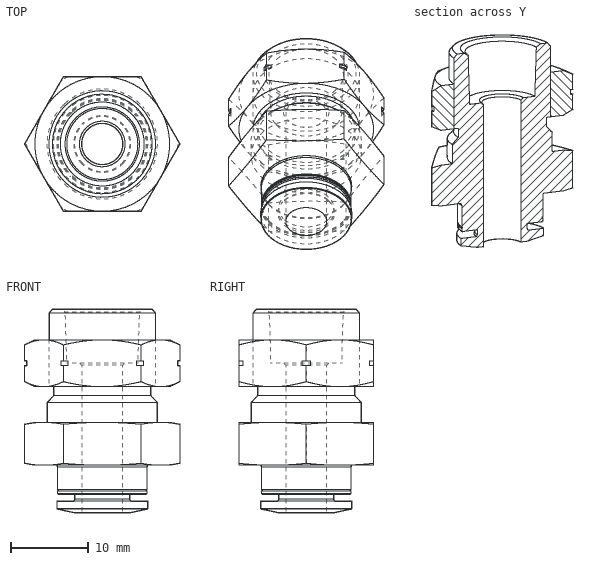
import cadquery as cq
import math

total_height = 26.4
hex_across_flats = 17.45
hex_across_corners = hex_across_flats / math.cos(math.radians(30))

cap_diameter = 11.8
cap_top = 1.53
cap_rim_bottom = 0.48
cap_edge_chamfer = 0.08
stem_diameter = 7.15
stem_flare = 0.1
stem_flare_height = 0.25

barrel_diameter = 11.62
barrel_bottom = 2.38
barrel_end_chamfer = 0.13
barrel_groove_bottom = 2.85
barrel_groove_height = 0.15
barrel_groove_depth = 0.08
barrel_shoulder_height = 0.25

hex_bottom = 6.18
hex_top = 11.72
hex_corner_drop = 0.25

collar_diameter = 14.28
collar_top = 14.3
undercut_diameter = 12.62
undercut_bottom = 15.18
thread_diameter = 13.8
thread_end_diameter = 12.9
thread_end_chamfer_height = 0.5

mouth_diameter = 10.88
mouth_chamfer_height = 0.4
socket_top_diameter = 9.64
socket_bottom_diameter = 9.21
socket_depth = 6.97
passage_diameter = 5.3
passage_mouth_diameter = 5.91
passage_chamfer_height = (passage_mouth_diameter - passage_diameter) / 2

nut_bottom = 16.35
nut_top = 22.41
nut_corner_drop = 0.65
nut_groove_height = 0.6
nut_groove_depth = 0.3


def revolve_profile(points):
    """Turn a closed (radius, height) outline about the Z axis."""
    return cq.Workplane("XZ").polyline(points).close().revolve(360, (0, 0, 0), (0, 1, 0))


def chamfered_hexagon(bottom, top, corner_drop):
    """Hexagon with corners on X, its corners turned off by a cone at both ends."""
    flat_radius = hex_across_flats / 2
    corner_radius = hex_across_corners / 2
    prism = cq.Workplane("XY").workplane(offset=bottom).polygon(6, hex_across_corners).extrude(top - bottom)
    envelope = revolve_profile([
        (0, bottom),
        (flat_radius, bottom),
        (corner_radius, bottom + corner_drop),
        (corner_radius, top - corner_drop),
        (flat_radius, top),
        (0, top),
    ])
    return prism.intersect(envelope)


def turned_housing():
    """Release ring, barrel, collar and threaded end as one turned outline."""
    cap_radius = cap_diameter / 2
    stem_radius = stem_diameter / 2
    barrel_radius = barrel_diameter / 2
    groove_radius = barrel_radius - barrel_groove_depth
    collar_radius = collar_diameter / 2
    undercut_radius = undercut_diameter / 2
    thread_radius = thread_diameter / 2
    return revolve_profile([
        (0, 0),
        (stem_radius, 0),
        (cap_radius - cap_edge_chamfer, cap_rim_bottom),
        (cap_radius, cap_rim_bottom + cap_edge_chamfer),
        (cap_radius, cap_top),
        (stem_radius + stem_flare, cap_top),
        (stem_radius, cap_top + stem_flare_height),
        (stem_radius, barrel_bottom),
        (barrel_radius - barrel_end_chamfer, barrel_bottom),
        (barrel_radius, barrel_bottom + barrel_end_chamfer),
        (barrel_radius, barrel_groove_bottom),
        (groove_radius, barrel_groove_bottom),
        (groove_radius, barrel_groove_bottom + barrel_groove_height),
        (barrel_radius, barrel_groove_bottom + barrel_groove_height),
        (barrel_radius, hex_bottom - barrel_shoulder_height),
        (cap_radius, hex_bottom),
        (collar_radius, hex_bottom),
        (collar_radius, collar_top),
        (undercut_radius, undercut_bottom),
        (undercut_radius, nut_bottom),
        (thread_radius, nut_bottom),
        (thread_radius, total_height - thread_end_chamfer_height),
        (thread_end_diameter / 2, total_height),
        (0, total_height),
    ])


def housing_bore():
    """Chamfered, tapered socket from the top, continued by the through hole."""
    socket_floor = total_height - socket_depth
    return revolve_profile([
        (0, 0),
        (passage_diameter / 2, 0),
        (passage_diameter / 2, socket_floor - passage_chamfer_height),
        (passage_mouth_diameter / 2, socket_floor),
        (socket_bottom_diameter / 2, socket_floor),
        (socket_top_diameter / 2, total_height - mouth_chamfer_height),
        (mouth_diameter / 2, total_height),
        (0, total_height),
    ])


def make_housing():
    fixed_hexagon = chamfered_hexagon(hex_bottom, hex_top, hex_corner_drop)
    return turned_housing().union(fixed_hexagon).cut(housing_bore())


def make_nut():
    """Nut whose turned groove only reaches the six corners."""
    nut = chamfered_hexagon(nut_bottom, nut_top, nut_corner_drop)
    groove_floor_radius = hex_across_corners / 2 - nut_groove_depth
    groove = (
        cq.Workplane("XY")
        .workplane(offset=(nut_bottom + nut_top - nut_groove_height) / 2)
        .circle(hex_across_corners)
        .circle(groove_floor_radius)
        .extrude(nut_groove_height)
    )
    thread_hole = (
        cq.Workplane("XY")
        .workplane(offset=nut_bottom)
        .circle(thread_diameter / 2)
        .extrude(nut_top - nut_bottom)
    )
    return nut.cut(groove).cut(thread_hole)


housing = make_housing()
nut = make_nut()
result = cq.Compound.makeCompound([housing.solids().val(), nut.solids().val()])